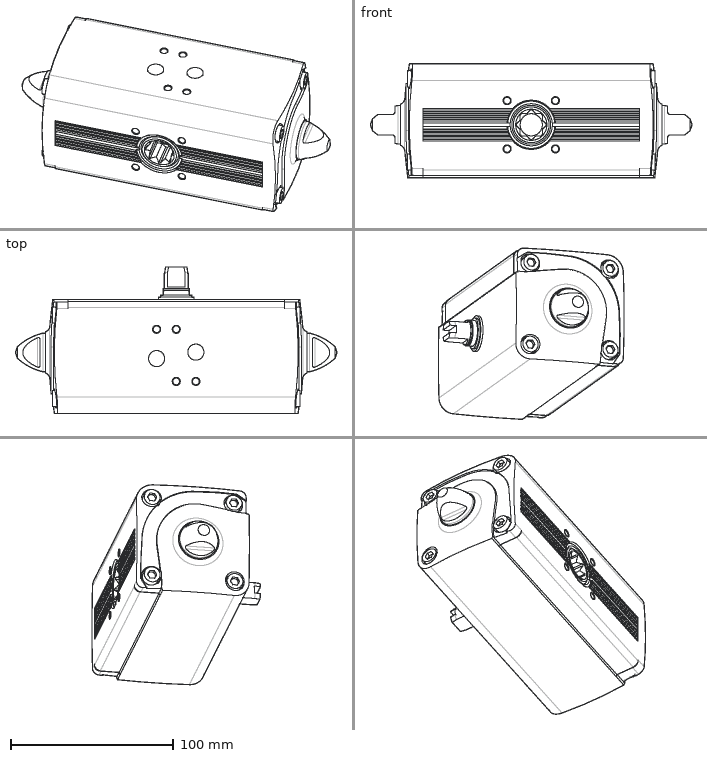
import cadquery as cq
import math


length = 198.1
depth = 90.3
height = 70.3
body_half_length = 66.5
wide_side = 37.6
pad_side = height - wide_side
pad_edge = 22.2
pad_edge_slope = 0.5
body_pad_height = 1.4
cap_pad_height = 1.5
large_corner = 10.3
pad_corner = 9.3
body_small_corner = 3.5
cap_small_corner = 4.2
cap_step_side = pad_side - cap_pad_height

dome_radius = 237.7
dome_top = 78.5
rim_drop = 0.4
band_drop = 1.5
panel_radius = 25.5
panel_slope_start = 26.3
band_radius = 34.5
band_side = 35.0
band_line_start = 12.9
band_corner_start = 25.0

stop_base_radius = 16.2
stop_base_x = 77.9
stop_flare_radius = 13.7
stop_flare_x = 79.0
stop_neck_radius = 12.7
stop_neck_x = 80.6
stop_cone_diameter = 24.0
stop_cone_x = 82.0
stop_mid_radius = 8.1
stop_mid_x = 91.7
stop_tip_radius = 3.5
stop_tip_x = 97.9
stop_flat = 6.3
stop_flat_x = 84.0
stop_flat_fillet = 1.4

screw_far = 28.3
screw_near = 23.0
screw_pad_corner = 23.5
screw_pocket_diameter = 11.9
screw_head_diameter = 10.0
screw_head_top = 76.3
screw_pocket_floor = 70.5
socket_flats = 5.0
socket_depth = 2.4

stem_top = depth - wide_side
stem_diameter = 15.0
stem_tip_diameter = 14.0
stem_taper = 3.5
stem_flats = 10.5
stem_flats_start = 40.5
stem_collars = [(22.0, 34.0), (19.2, 35.3), (16.0, 38.0), (15.0, 38.5), (16.0, 39.5)]
stem_slot_width = 4.5
stem_slot_depth = 4.0

seat_diameter = 30.3
seat_depth = 1.2
seat_chamfer = 0.5
pinion_diameter = 24.0
pinion_chamfer = 1.0
star_flats = 13.7
star_depth = 15.8
star_corner_diameter = 18.2
star_entry_diameter = 19.2
star_entry_depth = 4.0

strip_half_height = 10.1
strip_depth = 0.4
groove_heights = [3.4, 5.7, 8.1]
groove_width = 1.8
groove_depth = 0.8
center_groove_width = 2.2
center_groove_depth = 2.8

thread_diameter = 4.2
thread_mouth_diameter = 5.0
thread_depth = 10.0
pinion_hole_offset = 14.9
port_diameter = 10.0
port_depth = 15.8
namur_x = 12.0
namur_center_y = -1.8
namur_half_span = 16.0
port_stagger = 2.0
drill_half_angle = math.radians(59)


def extrude_outline(outline, start, end):
    """Extrude a YZ outline along X between two X positions."""
    return outline.extrude(end - start).translate((start, 0, 0))


def revolve_about_y(points):
    """Revolve (radius, y) points around the pinion axis."""
    return cq.Workplane("XY").polyline(points).close().revolve(360, (0, 0), (0, 1))


def drill(diameter, depth, mouth_diameter):
    """Blind hole going down from the origin, with a countersunk mouth and a drill point."""
    radius = diameter / 2
    mouth = mouth_diameter / 2
    profile = [
        (0, 0),
        (mouth, 0),
        (radius, radius - mouth),
        (radius, -depth),
        (0, -depth - radius / math.tan(drill_half_angle)),
    ]
    return cq.Workplane("XZ").polyline(profile).close().revolve(360, (0, 0), (0, 1))


def section(start, end, pad_height, small_corner):
    """Length of body or cap with one large corner, one padded corner and two stepped corners."""
    step_side = pad_side - pad_height
    pad_lip = pad_edge - pad_edge_slope
    outline = (
        cq.Workplane("YZ")
        .moveTo(-wide_side, wide_side)
        .lineTo(step_side, wide_side)
        .lineTo(step_side, pad_edge)
        .lineTo(pad_side, pad_lip)
        .lineTo(pad_side, -pad_side)
        .lineTo(-pad_lip, -pad_side)
        .lineTo(-pad_edge, -step_side)
        .lineTo(-wide_side, -step_side)
        .close()
    )
    block = extrude_outline(outline, start, end)
    corners = [
        (-wide_side, wide_side, large_corner),
        (pad_side, -pad_side, pad_corner),
        (step_side, wide_side, small_corner),
        (-wide_side, -step_side, small_corner),
    ]
    middle = (start + end) / 2
    for y, z, radius in corners:
        edge = cq.selectors.NearestToPointSelector((middle, y, z))
        block = block.edges("|X").edges(edge).fillet(radius)
    return block


def dome(drop):
    """Sphere whose crown lies the given drop below the top of the cap panel."""
    crown = dome_top - drop
    return cq.Workplane("XY").sphere(dome_radius).translate((crown - dome_radius, 0, 0))


def panel_outline():
    """Raised cap panel: an arc around the stop, running out to the +Y and -Z sides."""
    slope_length = math.hypot(panel_slope_start, pad_edge)
    bearing = math.atan2(pad_edge, panel_slope_start)
    touch = bearing + math.acos(panel_radius / slope_length)
    touch_y = panel_radius * math.cos(touch)
    touch_z = panel_radius * math.sin(touch)
    middle = panel_radius * math.sqrt(0.5)
    return (
        cq.Workplane("YZ")
        .moveTo(wide_side, pad_edge)
        .lineTo(panel_slope_start, pad_edge)
        .lineTo(touch_y, touch_z)
        .threePointArc((-middle, middle), (-touch_z, -touch_y))
        .lineTo(-pad_edge, -panel_slope_start)
        .lineTo(-pad_edge, -wide_side)
        .lineTo(wide_side, -wide_side)
        .close()
    )


def band_outline():
    """Band around the panel, with clipped outer ends."""
    middle = band_radius * math.sqrt(0.5)
    return (
        cq.Workplane("YZ")
        .moveTo(wide_side, cap_step_side)
        .lineTo(cap_step_side, cap_step_side)
        .lineTo(band_corner_start, band_side)
        .lineTo(band_line_start, band_side)
        .lineTo(0, band_radius)
        .threePointArc((-middle, middle), (-band_radius, 0))
        .lineTo(-band_side, -band_line_start)
        .lineTo(-band_side, -band_corner_start)
        .lineTo(-cap_step_side, -cap_step_side)
        .lineTo(-cap_step_side, -wide_side)
        .lineTo(wide_side, -wide_side)
        .close()
    )


def stop():
    """Rounded cone with a flared foot and two flats, pointing along +X."""
    cone = (
        cq.Workplane("XY")
        .moveTo(body_half_length, 0)
        .lineTo(body_half_length, stop_base_radius)
        .lineTo(stop_base_x, stop_base_radius)
        .threePointArc((stop_flare_x, stop_flare_radius), (stop_neck_x, stop_neck_radius))
        .lineTo(stop_neck_x, stop_cone_diameter / 2)
        .lineTo(stop_cone_x, stop_cone_diameter / 2)
        .threePointArc((stop_mid_x, stop_mid_radius), (stop_tip_x, stop_tip_radius))
        .lineTo(length / 2, 0)
        .close()
        .revolve(360, (0, 0), (1, 0))
    )
    cut_length = length / 2
    flat_cut = (
        cq.Workplane("XY")
        .box(cut_length, length, cut_length, centered=(False, True, False))
        .edges("<X and <Z")
        .fillet(stop_flat_fillet)
        .translate((stop_flat_x, 0, stop_flat))
    )
    return cone.cut(flat_cut).cut(flat_cut.mirror("XY"))


def screw_head():
    """Screw head with a hexagon socket that ends in a drill point."""
    head = (
        cq.Workplane("YZ")
        .circle(screw_head_diameter / 2)
        .extrude(screw_head_top - body_half_length)
        .translate((body_half_length, 0, 0))
    )
    socket = (
        cq.Workplane("YZ")
        .polygon(6, socket_flats / math.cos(math.pi / 6))
        .extrude(socket_depth)
        .translate((screw_head_top - socket_depth, 0, 0))
    )
    point_height = socket_flats / 2 / math.tan(drill_half_angle)
    point = cq.Workplane(
        cq.Solid.makeCone(
            socket_flats / 2,
            0,
            point_height,
            pnt=cq.Vector(screw_head_top - socket_depth, 0, 0),
            dir=cq.Vector(-1, 0, 0),
        )
    )
    return head.cut(socket).cut(point)


def end_cap():
    """Cap for the +X end, complete with screws and stop."""
    blank = section(body_half_length, dome_top, cap_pad_height, cap_small_corner)
    band_area = extrude_outline(band_outline(), body_half_length, dome_top)
    panel_area = extrude_outline(panel_outline(), body_half_length, dome_top)
    rim = blank.intersect(dome(rim_drop)).cut(band_area)
    band = blank.intersect(dome(band_drop)).intersect(band_area)
    panel = blank.intersect(dome(0)).intersect(panel_area)
    cap = rim.union(band).union(panel).union(stop())
    well = (
        cq.Workplane("YZ")
        .circle(screw_pocket_diameter / 2)
        .extrude(dome_top - screw_pocket_floor)
        .translate((screw_pocket_floor, 0, 0))
    )
    screw_places = [
        (-screw_far, screw_far),
        (-screw_far, -screw_near),
        (screw_near, screw_far),
        (screw_pad_corner, -screw_pad_corner),
    ]
    for y, z in screw_places:
        cap = cap.cut(well.translate((0, y, z))).union(screw_head().translate((0, y, z)))
    return cap


def stem():
    """Stepped stem with two flats and an indicator slot across its end."""
    radius = stem_diameter / 2
    profile = [(0, 0)]
    start = 0
    for diameter, end in stem_collars:
        profile += [(diameter / 2, start), (diameter / 2, end)]
        start = end
    profile += [
        (radius, start),
        (radius, stem_top - stem_taper),
        (stem_tip_diameter / 2, stem_top),
        (0, stem_top),
    ]
    shaft = revolve_about_y(profile)
    flats_length = stem_top - stem_flats_start
    for side in (-1, 1):
        flat_cut = (
            cq.Workplane("XY")
            .box(stem_diameter * 2, flats_length, stem_diameter, centered=(True, False, True))
            .translate((0, stem_flats_start, side * (stem_flats + stem_diameter) / 2))
        )
        shaft = shaft.cut(flat_cut)
    slot = (
        cq.Workplane("XY")
        .box(stem_diameter * 2, stem_slot_depth, stem_slot_width, centered=(True, False, True))
        .translate((0, stem_top - stem_slot_depth, 0))
    )
    return shaft.cut(slot)


def groove_cutters():
    """Recessed strip along the -Y face, with V grooves and one deeper square groove."""
    run = 2 * body_half_length
    cutters = (
        cq.Workplane("XY")
        .box(run, 2 * strip_depth, 2 * strip_half_height)
        .translate((0, -wide_side, 0))
    )
    center = (
        cq.Workplane("XY")
        .box(run, 2 * center_groove_depth, center_groove_width)
        .translate((0, -wide_side, 0))
    )
    pinion_end = (
        cq.Workplane("XZ")
        .circle(pinion_diameter / 2 + pinion_chamfer)
        .extrude(center_groove_depth, both=True)
        .translate((0, -wide_side, 0))
    )
    cutters = cutters.union(center.cut(pinion_end))
    strip_floor = strip_depth - wide_side
    for offset in groove_heights:
        for z in (-offset, offset):
            triangle = [
                (strip_floor, z - groove_width / 2),
                (groove_depth - wide_side, z),
                (strip_floor, z + groove_width / 2),
            ]
            outline = cq.Workplane("YZ").polyline(triangle).close()
            cutters = cutters.union(extrude_outline(outline, -body_half_length, body_half_length))
    return cutters


def pinion_seat_cutters():
    """Seat, V-shaped gap around the pinion and its eight-point drive socket."""
    face = -wide_side
    floor = face + seat_depth
    seat_radius = seat_diameter / 2
    seat = revolve_about_y(
        [
            (0, face),
            (seat_radius, face),
            (seat_radius - seat_chamfer, floor),
            (0, floor),
        ]
    )
    pinion_radius = pinion_diameter / 2
    gap = revolve_about_y(
        [
            (pinion_radius - pinion_chamfer, floor),
            (pinion_radius + pinion_chamfer, floor),
            (pinion_radius, floor + pinion_chamfer),
        ]
    )
    square = cq.Workplane("XY").box(star_flats, star_depth, star_flats, centered=(True, False, True))
    limit = cq.Workplane("XZ").circle(star_corner_diameter / 2).extrude(-star_depth)
    star = square.union(square.rotate((0, 0, 0), (0, 1, 0), 45)).intersect(limit).translate((0, floor, 0))
    bore_radius = star_flats / 2
    star_end = floor + star_depth
    bore = revolve_about_y(
        [
            (0, floor),
            (star_entry_diameter / 2, floor),
            (bore_radius, floor + star_entry_depth),
            (bore_radius, star_end),
            (0, star_end + bore_radius / math.tan(drill_half_angle)),
        ]
    )
    return [seat, gap, star, bore]


def tapped_hole():
    """Blind tapped hole going down from the origin."""
    return drill(thread_diameter, thread_depth, thread_mouth_diameter)


body = section(-body_half_length, body_half_length, body_pad_height, body_small_corner)
body = body.union(stem())
body = body.cut(groove_cutters())
for cutter in pinion_seat_cutters():
    body = body.cut(cutter)

side_hole = tapped_hole().rotate((0, 0, 0), (1, 0, 0), 90)
for x in (-pinion_hole_offset, pinion_hole_offset):
    for z in (-pinion_hole_offset, pinion_hole_offset):
        body = body.cut(side_hole.translate((x, -wide_side, z)))

port = cq.Workplane("XY").circle(port_diameter / 2).extrude(-port_depth)
for side in (-1, 1):
    port_y = namur_center_y + side * port_stagger
    hole_y = namur_center_y - side * namur_half_span
    body = body.cut(port.translate((side * namur_x, port_y, wide_side)))
    for x in (0, side * namur_x):
        body = body.cut(tapped_hole().translate((x, hole_y, wide_side)))

cap = end_cap()
result = body.union(cap).union(cap.mirror("YZ"))